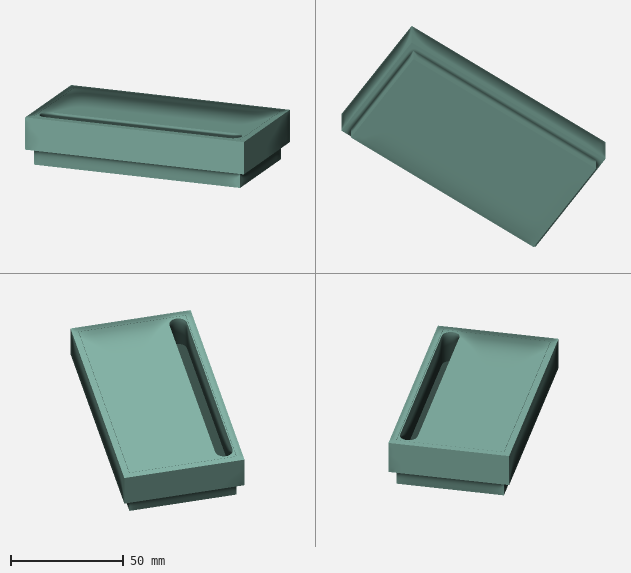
import cadquery as cq

frame_length = 105.0
frame_width = 55.0
total_height = 22.5
frame_height = 15.0
wall = 2.9

clearance = 0.1

slot_length = 96.6
slot_width = 8.0
slot_front_margin = 0.5
slot_depth = frame_height

opening_length = frame_length - 2 * wall
opening_width = frame_width - 2 * wall
block_length = opening_length - 2 * clearance
block_width = opening_width - 2 * clearance
frame_bottom = total_height - frame_height
slot_center_y = -block_width / 2 + slot_front_margin + slot_width / 2


def make_frame():
    """Rectangular frame, open at top and bottom, around the upper part of the block."""
    outside = cq.Workplane("XY").workplane(offset=frame_bottom).rect(frame_length, frame_width)
    return outside.rect(opening_length, opening_width).extrude(frame_height)


def make_block():
    """Block flush with the frame top and standing out below, with a blind slot near its front."""
    block = cq.Workplane("XY").rect(block_length, block_width).extrude(total_height)
    slot = (
        cq.Workplane("XY")
        .workplane(offset=total_height - slot_depth)
        .center(0, slot_center_y)
        .slot2D(slot_length, slot_width)
        .extrude(slot_depth)
    )
    return block.cut(slot)


frame = make_frame()
block = make_block()

result = cq.Compound.makeCompound([frame.val(), block.val()])